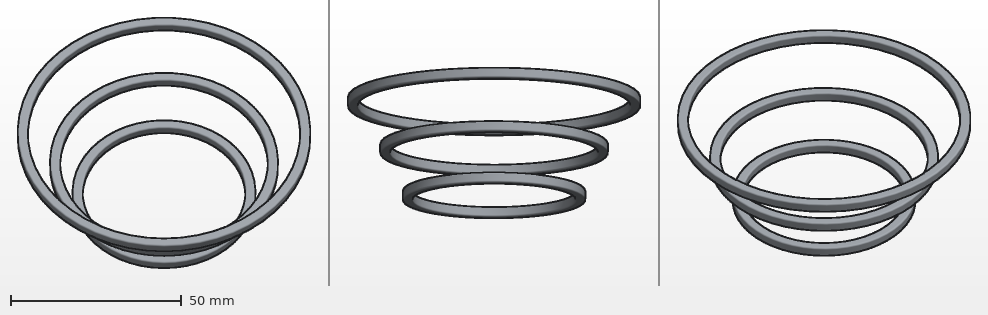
import cadquery as cq

ring_width = 3.0
ring_height = 3.0
edge_radius = 0.5
ring_pitch = 14.0

bore_diameters = [47.55, 60.73, 79.65]


def make_ring(bore_diameter, bottom_z):
    """Flat ring with rounded inner and outer edges, standing on bottom_z."""
    bore_radius = bore_diameter / 2
    return (
        cq.Workplane("XY")
        .workplane(offset=bottom_z)
        .circle(bore_radius + ring_width)
        .circle(bore_radius)
        .extrude(ring_height)
        .edges("%CIRCLE")
        .fillet(edge_radius)
    )


rings = [make_ring(bore, level * ring_pitch) for level, bore in enumerate(bore_diameters)]

result = cq.Compound.makeCompound([ring.val() for ring in rings])